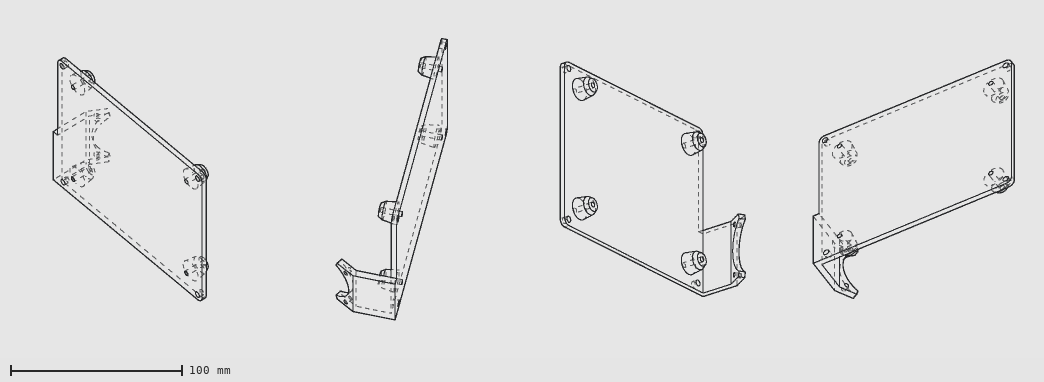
import cadquery as cq
import math

LENGTH = 133.7
HEIGHT = 104.3
DEPTH = 37.2
PLATE_THICKNESS = 3.3
CORNER_RADIUS = 4.0

MOUNT_HOLE_DIAMETER = 3.6
OFFSET_HOLE = (8.8, 4.8)

STANDOFF_LEFT = 17.8
STANDOFF_SPACING_X = 101.9
STANDOFF_EDGE_Z = 14.0
STANDOFF_HOLE_DIAMETER = 3.0
STANDOFF_HEIGHT = 10.0
STANDOFF_SHOULDER_HEIGHT = 7.5
STANDOFF_BASE_RADIUS = 6.7
STANDOFF_SHOULDER_RADIUS = 5.6
STANDOFF_TOP_RADIUS = 4.1

BRACKET_THICKNESS = 4.0
BRACKET_HEIGHT = 40.1
BEND_Y = 25.4
BEND_ANGLE = 30.0
FAN_RADIUS = 19.0
FAN_CUT_DEPTH = 10.2
FAN_HOLE_SPACING = 32.1
FAN_HOLE_DIAMETER = 2.7
FAN_HOLE_FROM_BEND = 5.9
TIP_SETBACK = 1.0
TIP_BEVEL_HEIGHT = 3.2

bend = math.radians(BEND_ANGLE)
flap_length = (DEPTH - BEND_Y) / math.cos(bend)
mid_z = BRACKET_HEIGHT / 2


def make_plate():
    plate = cq.Workplane("XY").box(
        LENGTH - BRACKET_THICKNESS, PLATE_THICKNESS, HEIGHT, centered=False
    )
    plate = plate.translate((BRACKET_THICKNESS, 0, 0))
    plate = plate.edges("|Y and (>X or >Z)").fillet(CORNER_RADIUS)
    return plate


def make_standoff(x, z):
    profile = [
        (0, 0),
        (STANDOFF_BASE_RADIUS, 0),
        (STANDOFF_SHOULDER_RADIUS, STANDOFF_SHOULDER_HEIGHT),
        (STANDOFF_TOP_RADIUS, STANDOFF_HEIGHT),
        (0, STANDOFF_HEIGHT),
    ]
    standoff = cq.Workplane("XY").polyline(profile).close().revolve(360, (0, 0), (0, 1))
    return standoff.translate((x, PLATE_THICKNESS, z))


def make_bracket():
    inner_bend_y = BEND_Y - BRACKET_THICKNESS * math.tan(bend / 2)
    tip_x = flap_length * math.sin(bend)
    inner_tip = (
        tip_x + BRACKET_THICKNESS * math.cos(bend),
        DEPTH - BRACKET_THICKNESS * math.sin(bend),
    )
    profile = [
        (0, 0),
        (BRACKET_THICKNESS, 0),
        (BRACKET_THICKNESS, inner_bend_y),
        inner_tip,
        (tip_x, DEPTH),
        (0, BEND_Y),
    ]
    bracket = cq.Workplane("XY").polyline(profile).close().extrude(BRACKET_HEIGHT)

    flap_plane = cq.Plane(
        origin=(0, BEND_Y, 0),
        xDir=(math.sin(bend), math.cos(bend), 0),
        normal=(math.cos(bend), -math.sin(bend), 0),
    )
    fan_center = flap_length - FAN_CUT_DEPTH + FAN_RADIUS
    fan_opening = cq.Workplane(flap_plane).center(fan_center, mid_z).circle(FAN_RADIUS)
    bracket = bracket.cut(fan_opening.extrude(BRACKET_THICKNESS))
    for side in (-1, 1):
        hole_z = mid_z + side * FAN_HOLE_SPACING / 2
        edge_z = mid_z + side * mid_z
        bevel_z = edge_z - side * TIP_BEVEL_HEIGHT
        hole = cq.Workplane(flap_plane).center(FAN_HOLE_FROM_BEND, hole_z)
        hole = hole.circle(FAN_HOLE_DIAMETER / 2)
        bevel = cq.Workplane(flap_plane).polyline([
            (flap_length - TIP_SETBACK, edge_z),
            (flap_length, edge_z),
            (flap_length, bevel_z),
        ]).close()
        bracket = bracket.cut(hole.extrude(BRACKET_THICKNESS))
        bracket = bracket.cut(bevel.extrude(BRACKET_THICKNESS))
    return bracket


def make_holes(points, diameter):
    depth = PLATE_THICKNESS + STANDOFF_HEIGHT
    return cq.Workplane("XZ").pushPoints(points).circle(diameter / 2).extrude(-depth)


mount_points = [
    (BRACKET_THICKNESS + CORNER_RADIUS, HEIGHT - CORNER_RADIUS),
    (LENGTH - CORNER_RADIUS, HEIGHT - CORNER_RADIUS),
    (LENGTH - CORNER_RADIUS, CORNER_RADIUS),
    OFFSET_HOLE,
]
standoff_points = [
    (x, z)
    for x in (STANDOFF_LEFT, STANDOFF_LEFT + STANDOFF_SPACING_X)
    for z in (STANDOFF_EDGE_Z, HEIGHT - STANDOFF_EDGE_Z)
]

body = make_plate().union(make_bracket())
body = body.cut(make_holes(mount_points, MOUNT_HOLE_DIAMETER))
for standoff_x, standoff_z in standoff_points:
    body = body.union(make_standoff(standoff_x, standoff_z))
result = body.cut(make_holes(standoff_points, STANDOFF_HOLE_DIAMETER))